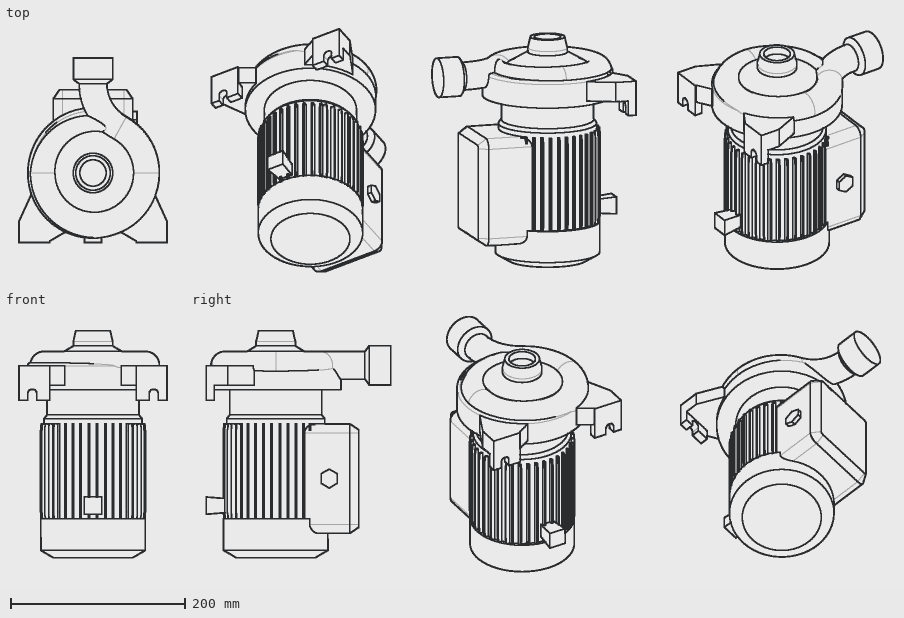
import cadquery as cq
import math

COWL_BEVEL_TOP = 8.5
COWL_TOP = 45.0
FINS_TOP = 154.0
COLLAR_TOP = 159.7
NECK_BOTTOM = 164.2
CASING_BOTTOM = 193.0
CASING_RIM = 220.8
CONE_TOP = 243.3
NOZZLE_TAPER_START = 248.5
TOTAL_HEIGHT = 261.0

COWL_BASE_RADIUS = 45.5
COWL_RADIUS = 60.0
CORE_RADIUS = 56.5
NECK_RADIUS = 53.0
CASING_RADIUS = 75.0
CASING_EDGE_ROUND = 3.5
NOZZLE_RADIUS = 22.7
NOZZLE_TIP_RADIUS = 19.8
NOZZLE_BORE_RADIUS = 15.1
NOZZLE_BORE_DEPTH = 9.5
CONE_ANGLE = 30

FIN_RADIUS = 60.5
FIN_THICKNESS = 1.8
FIN_END_TAPER = 8.0
FIN_END_RELIEF = 0.8
FINS_PER_SIDE = 10
FIN_SIDES = 4

TUBE_RADIUS = 32.0 / 2
TUBE_HEIGHT = 221.0
VOLUTE_RADIUS = 58.2
VOLUTE_OFFSET = 2.0
VOLUTE_END_ANGLE = 61
TAIL_END_ANGLE = 68
TAIL_END_HALF_WIDTH = 8.4
TAIL_END_HALF_HEIGHT = 14.0
OUTLET_RADIUS = 22.7
OUTLET_END = 132.0
OUTLET_LENGTH = 24.8

FOOT_HALF_SPAN = 170.0 / 2
FOOT_FACE = -79.9
FOOT_INNER_X = 49.5
FOOT_PLATE_BOTTOM = 198.0
FOOT_LEG_BOTTOM = 181.0
FOOT_LEG_THICKNESS = 9.5
FOOT_STEP = 1.5
FOOT_SHOULDER = -55.3
FOOT_OUTER_ROOT = (71.0, -24.8)
FOOT_INNER_ROOT = (32.5, -68.5)
SLOT_X = 69.7
SLOT_WIDTH = 10.2
SLOT_TOP = 193.7

BOX_HALF_WIDTH = 45.7
BOX_BOTTOM = 28.2
BOX_CORNER = 10.5
BOX_FACE = 95.5
BOX_BEVEL_DEPTH = 10.5
BOX_BEVEL_INSET = 7.0
GLAND_Y = 61.3
GLAND_FLATS = 18.8
GLAND_END = 50.6
HEXAGON_TURN = 30

BLOCK_Z = 60.0
BLOCK_FACE_SIZE = 20.0
BLOCK_ROOT_SIZE = 16.5
BLOCK_ROOT_Y = -57.5


def revolved(points):
    """Turn an (r, z) outline about the motor axis."""
    return cq.Workplane("XZ").polyline(points).close().revolve(360, (0, 0, 0), (0, 1, 0))


def motor():
    return revolved([
        (0, 0),
        (COWL_BASE_RADIUS, 0),
        (COWL_RADIUS, COWL_BEVEL_TOP),
        (COWL_RADIUS, COWL_TOP),
        (CORE_RADIUS, COWL_TOP),
        (CORE_RADIUS, COLLAR_TOP),
        (NECK_RADIUS, NECK_BOTTOM),
        (NECK_RADIUS, CASING_BOTTOM),
        (0, CASING_BOTTOM),
    ])


def fins():
    """Parallel flat-tipped plates on each side, spaced by equal angles around the motor."""
    pitch = 360 / (FINS_PER_SIDE * FIN_SIDES)
    root = CORE_RADIUS / 2
    plates = cq.Workplane("XY")
    for index in range(FINS_PER_SIDE):
        angle = math.radians((index - (FINS_PER_SIDE - 1) / 2) * pitch)
        middle_y = FIN_RADIUS * math.sin(angle)
        tip = math.sqrt(FIN_RADIUS**2 - (abs(middle_y) + FIN_THICKNESS / 2) ** 2)
        plate = (
            cq.Workplane("XZ", origin=(0, middle_y, 0))
            .polyline([
                (root, COWL_TOP),
                (tip - FIN_END_RELIEF, COWL_TOP),
                (tip, COWL_TOP + FIN_END_TAPER),
                (tip, FINS_TOP - FIN_END_TAPER),
                (tip - FIN_END_RELIEF, FINS_TOP),
                (root, FINS_TOP),
            ])
            .close()
            .extrude(FIN_THICKNESS / 2, both=True)
        )
        for side in range(FIN_SIDES):
            plates = plates.add(plate.rotate((0, 0, 0), (0, 0, 1), side * 360 / FIN_SIDES))
    return plates.combine()


def casing():
    casing_top = CASING_RIM + CASING_EDGE_ROUND
    disc = cq.Workplane("XY").workplane(offset=CASING_BOTTOM).circle(CASING_RADIUS)
    disc = disc.extrude(casing_top - CASING_BOTTOM).faces(">Z").edges().fillet(CASING_EDGE_ROUND)
    cone_run = (CONE_TOP - casing_top) / math.tan(math.radians(CONE_ANGLE))
    cone_base_radius = NOZZLE_RADIUS + cone_run
    nozzle = revolved([
        (0, CASING_RIM),
        (cone_base_radius, CASING_RIM),
        (cone_base_radius, casing_top),
        (NOZZLE_RADIUS, CONE_TOP),
        (NOZZLE_RADIUS, NOZZLE_TAPER_START),
        (NOZZLE_TIP_RADIUS, TOTAL_HEIGHT),
        (0, TOTAL_HEIGHT),
    ])
    return disc.union(nozzle)


def polar(radius, degrees):
    return radius * math.cos(math.radians(degrees)), radius * math.sin(math.radians(degrees))


def volute():
    """Spiral tube whose end bends back, tangentially, into the outlet along +Y."""
    cos_end = math.cos(math.radians(VOLUTE_END_ANGLE))
    bend_radius = (VOLUTE_OFFSET + VOLUTE_RADIUS * cos_end) / (1 - cos_end)
    bend_y = (VOLUTE_RADIUS + bend_radius) * math.sin(math.radians(VOLUTE_END_ANGLE))

    def on_spiral(degrees):
        x, y = polar(VOLUTE_RADIUS, degrees)
        return x + VOLUTE_OFFSET, y

    def on_bend(degrees):
        x, y = polar(bend_radius, degrees)
        return x + bend_radius, y + bend_y

    path = (
        cq.Workplane("XY", origin=(0, 0, TUBE_HEIGHT))
        .moveTo(*on_spiral(180))
        .threePointArc(on_spiral(270), on_spiral(360))
        .threePointArc(on_spiral(VOLUTE_END_ANGLE / 2), on_spiral(VOLUTE_END_ANGLE))
        .threePointArc(on_bend(180 + VOLUTE_END_ANGLE / 2), on_bend(180))
    )
    start_x = on_spiral(180)[0]
    tube = cq.Workplane("XZ", origin=(start_x, 0, TUBE_HEIGHT)).circle(TUBE_RADIUS).sweep(path)

    outlet = (
        cq.Workplane("XY", origin=(0, 0, TUBE_HEIGHT))
        .moveTo(0, bend_y)
        .lineTo(TUBE_RADIUS, bend_y)
        .lineTo(OUTLET_RADIUS, OUTLET_END - OUTLET_LENGTH)
        .lineTo(OUTLET_RADIUS, OUTLET_END)
        .lineTo(0, OUTLET_END)
        .close()
        .revolve(360, (0, 0, 0), (0, 1, 0))
    )
    return tube.union(outlet)


def volute_tail():
    """Narrowing start of the spiral, ending inside the outlet bend."""
    radius = VOLUTE_RADIUS - VOLUTE_OFFSET
    end_x, end_y = polar(radius, TAIL_END_ANGLE)
    path = (
        cq.Workplane("XY", origin=(0, 0, TUBE_HEIGHT))
        .moveTo(-radius, 0)
        .threePointArc(polar(radius, (180 + TAIL_END_ANGLE) / 2), (end_x, end_y))
    )
    start_plane = cq.Plane(origin=(-radius, 0, TUBE_HEIGHT), xDir=(0, 0, -1), normal=(0, 1, 0))
    end_plane = cq.Plane(
        origin=(end_x, end_y, TUBE_HEIGHT), xDir=(0, 0, -1), normal=(end_y, -end_x, 0)
    )
    start = cq.Workplane(start_plane).ellipse(TUBE_RADIUS, TUBE_RADIUS).wire().val()
    end = cq.Workplane(end_plane).ellipse(TAIL_END_HALF_HEIGHT, TAIL_END_HALF_WIDTH).wire().val()
    return cq.Workplane("XY").add(cq.Solid.sweep_multi([start, end], path.val(), True, True))


def foot():
    """Foot on the +X side: a plate on the casing with a slotted leg hanging from its front edge."""
    plate = (
        cq.Workplane("XY", origin=(0, 0, FOOT_PLATE_BOTTOM))
        .polyline([
            (0, 0),
            FOOT_OUTER_ROOT,
            (FOOT_HALF_SPAN, FOOT_SHOULDER),
            (FOOT_HALF_SPAN, FOOT_FACE),
            (FOOT_INNER_X, FOOT_FACE),
            (FOOT_INNER_X, FOOT_FACE + FOOT_STEP),
            FOOT_INNER_ROOT,
        ])
        .close()
        .extrude(CASING_RIM - FOOT_PLATE_BOTTOM)
    )
    leg_width = FOOT_HALF_SPAN - FOOT_INNER_X
    leg_height = FOOT_PLATE_BOTTOM - FOOT_LEG_BOTTOM
    leg = (
        cq.Workplane("XY", origin=(FOOT_INNER_X, FOOT_FACE, FOOT_LEG_BOTTOM))
        .rect(leg_width, FOOT_LEG_THICKNESS, centered=False)
        .extrude(leg_height)
    )
    arch_z = SLOT_TOP - SLOT_WIDTH / 2
    slot = (
        cq.Workplane("XZ", origin=(SLOT_X, FOOT_FACE, 0))
        .moveTo(-SLOT_WIDTH / 2, FOOT_LEG_BOTTOM)
        .lineTo(-SLOT_WIDTH / 2, arch_z)
        .threePointArc((0, SLOT_TOP), (SLOT_WIDTH / 2, arch_z))
        .lineTo(SLOT_WIDTH / 2, FOOT_LEG_BOTTOM)
        .close()
        .extrude(-FOOT_LEG_THICKNESS)
    )
    return plate.union(leg).cut(slot)


def terminal_box():
    height = FINS_TOP - BOX_BOTTOM
    middle = (FINS_TOP + BOX_BOTTOM) / 2
    shoulder = BOX_FACE - BOX_BEVEL_DEPTH
    body = cq.Workplane("XZ", origin=(0, 0, middle)).rect(2 * BOX_HALF_WIDTH, height).extrude(-shoulder)
    body = body.edges("|Y").fillet(BOX_CORNER)
    taper = math.degrees(math.atan2(BOX_BEVEL_INSET, BOX_BEVEL_DEPTH))
    lid = body.faces(">Y").wires().toPending().workplane().extrude(BOX_BEVEL_DEPTH, taper=taper)
    gland = (
        cq.Workplane("YZ", origin=(0, GLAND_Y, middle))
        .polygon(6, GLAND_FLATS / math.cos(math.radians(HEXAGON_TURN)))
        .extrude(GLAND_END)
        .rotate((0, GLAND_Y, middle), (1, GLAND_Y, middle), HEXAGON_TURN)
    )
    return lid.union(gland)


def support_block():
    """Square block that widens towards its front face, with a root reaching into the motor."""
    flare = (
        cq.Workplane("XZ", origin=(0, FOOT_FACE, BLOCK_Z))
        .rect(BLOCK_FACE_SIZE, BLOCK_FACE_SIZE)
        .workplane(offset=FOOT_FACE - BLOCK_ROOT_Y)
        .rect(BLOCK_ROOT_SIZE, BLOCK_ROOT_SIZE)
        .loft()
    )
    root = (
        cq.Workplane("XZ", origin=(0, BLOCK_ROOT_Y, BLOCK_Z))
        .rect(BLOCK_ROOT_SIZE, BLOCK_ROOT_SIZE)
        .extrude(BLOCK_ROOT_Y)
    )
    return flare.union(root)


def suction_bore():
    mouth = cq.Workplane("XY", origin=(0, 0, TOTAL_HEIGHT))
    return mouth.circle(NOZZLE_BORE_RADIUS).extrude(-NOZZLE_BORE_DEPTH)


right_foot = foot()
result = motor().union(fins()).union(terminal_box()).union(support_block())
result = result.union(casing()).union(right_foot).union(right_foot.mirror("YZ"))
result = result.union(volute()).union(volute_tail())
result = result.cut(suction_bore())